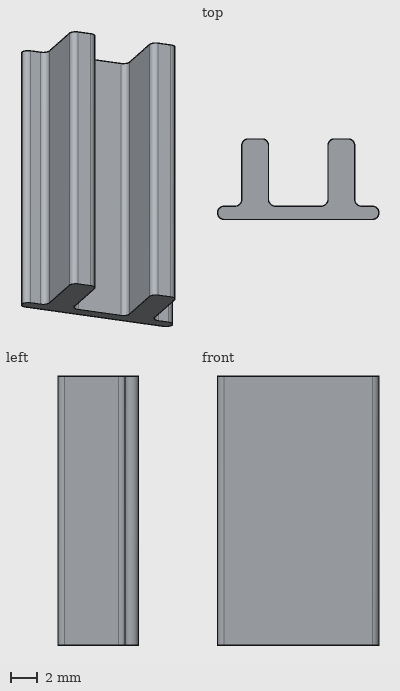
import cadquery as cq

length = 20.0
plate_width = 12.0
total_depth = 6.0

plate_thickness = 1.0
leg_thickness = 2.0
leg_gap = 4.4
leg_offset = (leg_gap + leg_thickness) / 2

corner_radius = plate_thickness / 2

plate_front = -total_depth / 2
plate_middle = plate_front + plate_thickness / 2
plate_back = plate_front + plate_thickness
leg_tip = total_depth / 2


def make_plate():
    """Full-length plate with fully rounded side edges."""
    return cq.Workplane("XY").center(0, plate_middle).slot2D(plate_width, plate_thickness).extrude(length)


def make_leg(x_center):
    """Full-length leg, rooted in the middle of the plate, with a rounded tip."""
    leg = (
        cq.Workplane("XY")
        .center(x_center, (plate_middle + leg_tip) / 2)
        .rect(leg_thickness, leg_tip - plate_middle)
        .extrude(length)
    )
    return leg.faces(">Y").edges("|Z").fillet(corner_radius)


def fillet_leg_roots(body):
    """Fillet the inside corners where the legs meet the plate."""
    margin = 0.02
    reach = leg_offset + leg_thickness / 2 + margin
    root_box = cq.selectors.BoxSelector(
        (-reach, plate_back - margin, -margin),
        (reach, plate_back + margin, length + margin),
    )
    return body.edges("|Z").edges(root_box).fillet(corner_radius)


result = make_plate().union(make_leg(-leg_offset)).union(make_leg(leg_offset))
result = fillet_leg_roots(result)